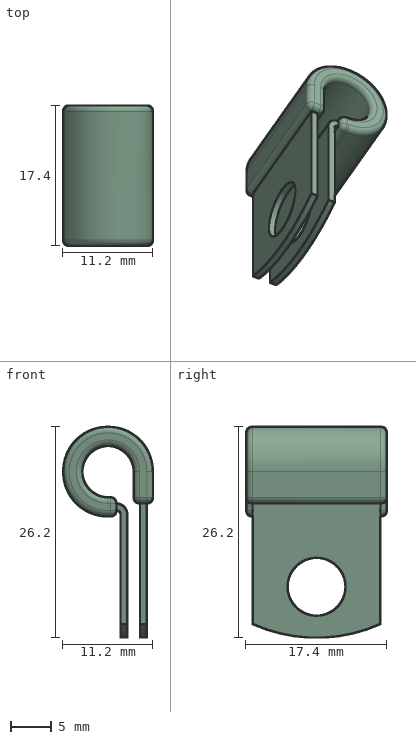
import cadquery as cq
import math


cushion_radius = 5.58
cushion_thickness = 2.4
cushion_width = 17.45
cushion_fillet = 0.75
straight_end_length = 3.95
lower_end_length = 1.05

strap_thickness = 0.86
strap_width = 15.82
bend_radius = 1.4
bend_center_x = 1.02
leg_bottom = -20.62
leg_corner_rise = 1.7
hole_diameter = 7.15
hole_z = -14.28

loop_center_radius = cushion_radius - cushion_thickness / 2


def hook_profile(thickness, drop, run):
    """Three-quarter ring with a straight drop at +X and a straight run at the bottom."""
    outer = loop_center_radius + thickness / 2
    inner = loop_center_radius - thickness / 2
    diagonal = math.sqrt(0.5)
    return (
        cq.Workplane("XZ")
        .moveTo(outer, -drop)
        .lineTo(outer, 0)
        .threePointArc((-outer * diagonal, outer * diagonal), (0, -outer))
        .lineTo(run, -outer)
        .lineTo(run, -inner)
        .lineTo(0, -inner)
        .threePointArc((-inner * diagonal, inner * diagonal), (inner, 0))
        .lineTo(inner, -drop)
        .close()
    )


def make_cushion():
    body = hook_profile(cushion_thickness, straight_end_length, lower_end_length).extrude(
        cushion_width / 2, both=True
    )
    side_edges = body.faces("<Y or >Y").edges()
    inner_radius = cushion_radius - cushion_thickness
    end_corners = []
    for x, z in (
        (cushion_radius, -straight_end_length),
        (inner_radius, -straight_end_length),
        (lower_end_length, -cushion_radius),
        (lower_end_length, -inner_radius),
    ):
        end_corners += body.edges(cq.selectors.NearestToPointSelector((x, 0, z))).vals()
    return body.newObject(side_edges.vals() + end_corners).fillet(cushion_fillet)


def make_near_leg():
    """Quarter bend that turns the strap down, followed by the straight leg."""
    inner_bend = bend_radius - strap_thickness
    bend_center_z = -loop_center_radius + strap_thickness / 2 - bend_radius
    diagonal = math.sqrt(0.5)

    def bend_point(radius):
        return bend_center_x + radius * diagonal, bend_center_z + radius * diagonal

    return (
        cq.Workplane("XZ")
        .moveTo(bend_center_x, bend_center_z + bend_radius)
        .threePointArc(bend_point(bend_radius), (bend_center_x + bend_radius, bend_center_z))
        .lineTo(bend_center_x + bend_radius, leg_bottom)
        .lineTo(bend_center_x + inner_bend, leg_bottom)
        .lineTo(bend_center_x + inner_bend, bend_center_z)
        .threePointArc(bend_point(inner_bend), (bend_center_x, bend_center_z + inner_bend))
        .close()
        .extrude(strap_width / 2, both=True)
    )


def make_leg_outline():
    """Envelope with an arched lower edge that trims the strap seen along X."""
    half_width = strap_width / 2
    corner_z = leg_bottom + leg_corner_rise
    return (
        cq.Workplane("YZ")
        .moveTo(-half_width, corner_z)
        .threePointArc((0, leg_bottom), (half_width, corner_z))
        .lineTo(half_width, cushion_radius)
        .lineTo(-half_width, cushion_radius)
        .close()
        .extrude(cushion_radius, both=True)
    )


def make_strap():
    hook = hook_profile(strap_thickness, -leg_bottom, bend_center_x).extrude(
        strap_width / 2, both=True
    )
    bolt_hole = (
        cq.Workplane("YZ")
        .center(0, hole_z)
        .circle(hole_diameter / 2)
        .extrude(cushion_radius, both=True)
    )
    return hook.union(make_near_leg()).intersect(make_leg_outline()).cut(bolt_hole)


result = make_cushion().union(make_strap())